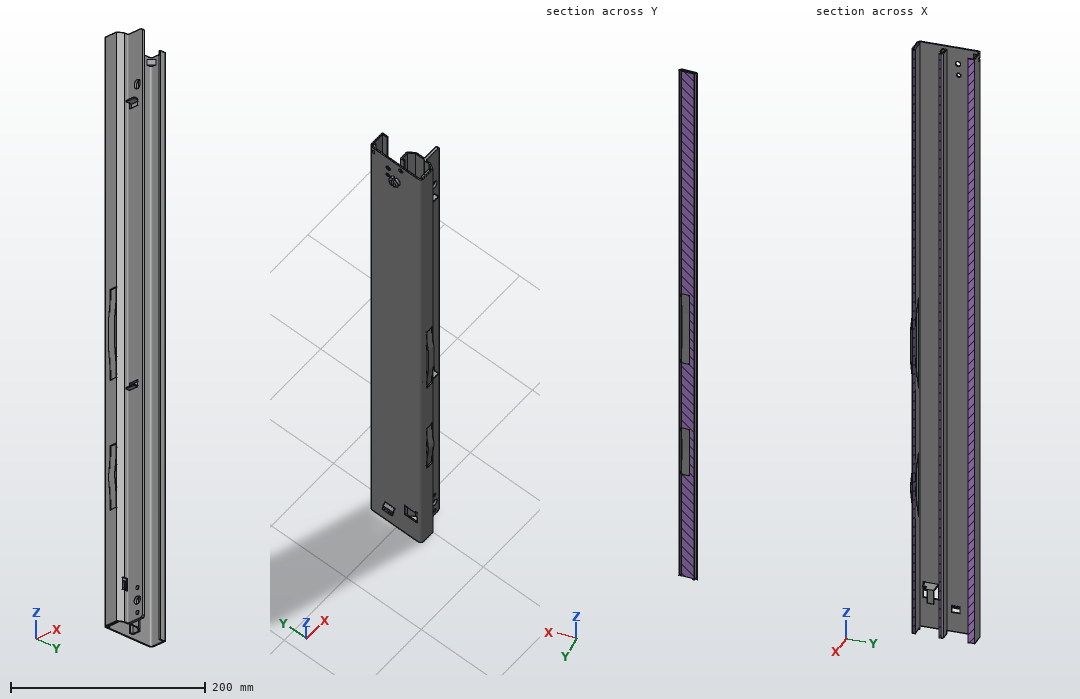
import cadquery as cq
import math

length = 678.5
sheet = 1.5
back_y = 68.8
back_lip_x = 20.5
back_lip_y = 61.5
bend_radius = 3.8
inner_bend_radius = bend_radius - sheet

slope_front_x = 19.2
slope_front_y = 7.0
front_side_x = 23.2
back_side_x = 24.0
curl_slope_y = 26.5
curl_slope_x = 18.5
curl_y = 34.3
curl_lip_x = 7.9
curl_lip_y = 29.3

fin_end_x = 44.43
fin_front_y = 12.5
fin_back_y = fin_front_y + 2 * sheet
fin_corner = 2.0
fin_root_radius = 1.0

fin_hole_x = 36.6
oblong_z = 616.5
oblong_width = 8.0
oblong_height = 10.5
low_hole_z = 22.0
low_hole_diameter = 9.0
pilot_diameter = 4.2
pilot_offset = 14.3

slot_start_x = 25.2
slot_end_x = 37.0
slot_height = 6.6
tab_reach = 5.0
upper_slot_z = 591.8
lower_slot_z = 269.0

strip_thickness = 2.0
strip_start_x = bend_radius
strip_end_x = 18.2
tongue_width = 2.0
tongue_length = 680.0 - length

ramp_start_x = 9.3
ramp_length = 34.5
ramp_projection = 2.0
ramps = [(280.6, 35.5), (131.0, 5.0)]

web_holes = [(27.3, 671.0, 5.5), (44.0, 660.0, 5.5), (44.7, 647.0, 4.5)]
stud_y = 34.2
stud_z = 646.5
stud_diameter = 12.5
stud_height = 5.0
stud_chamfer = 1.8
stud_slot = 2.4

hook_y = 41.5
hook_width = 13.0
hook_top_z = 32.5
hook_thickness = 1.5
hook_arm_x = -3.9
hook_arm_drop = 2.5
hook_leg_z = 26.5
hook_tip_x = -5.0
hook_tip_z = 24.5
hook_opening_width = 9.0
hook_opening_bottom_z = 22.0

gusset_z = 671.5
gusset_height = 6.5
gusset_leg = 6.5
gusset_dent_height = 3.5
gusset_dent_leg = 6.8

window_bottom_z = 34.0
window_top_z = 52.0
window_front_y = 5.5
window_back_y = 22.5
shelf_step_y = 12.5
shelf_front_y = 8.0
shelf_narrow_x = 10.0
shelf_wide_x = 16.0
apron_front_y = 15.5
apron_bottom_z = 36.0
side_window_x = 20.0
side_window_front_y = 5.5
side_window_bottom_z = 37.0
side_window_top_z = 51.0


def block(x0, x1, y0, y1, z0, z1):
    """Box between two opposite corners."""
    return cq.Workplane("XY").box(x1 - x0, y1 - y0, z1 - z0, centered=False).translate((x0, y0, z0))


def prism(points, z0, z1):
    """Plan outline extruded from z0 to z1."""
    return cq.Workplane("XY").workplane(offset=z0).polyline(points).close().extrude(z1 - z0)


def side_prism(points, x0, x1):
    """(Y, Z) outline extruded from x0 to x1."""
    return cq.Workplane("YZ").workplane(offset=x0).polyline(points).close().extrude(x1 - x0)


def fin_hole(z, diameter):
    """Round cutter through the fin."""
    return (cq.Workplane("XZ", origin=(fin_hole_x, fin_back_y, z))
            .circle(diameter / 2).extrude(fin_back_y - fin_front_y))


def offset_left(points, distance):
    """Open line moved to its left, with mitred corners."""
    directions = []
    for (x0, y0), (x1, y1) in zip(points, points[1:]):
        run = math.hypot(x1 - x0, y1 - y0)
        directions.append(((x1 - x0) / run, (y1 - y0) / run))
    moved = []
    for index, (x, y) in enumerate(points):
        ux, uy = directions[max(index - 1, 0)]
        vx, vy = directions[min(index, len(directions) - 1)]
        scale = distance / (1 + ux * vx + uy * vy)
        moved.append((x - (uy + vy) * scale, y + (ux + vx) * scale))
    return moved


def folded_sheet(outer_skin):
    """Sheet with its outer skin on the given plan line and its thickness to the left of it."""
    inner_skin = offset_left(outer_skin, sheet)
    return prism(outer_skin + inner_skin[::-1], 0, length)


def round_bend(body, x, y, radius):
    """Fillet the vertical edge nearest to a plan point."""
    edge = body.edges("|Z").edges(cq.selectors.NearestToPointSelector((x, y, length / 2)))
    return edge.fillet(radius)


def rolled_section():
    """Channel and curl joined into one sheet along the flattened fin."""
    channel_half = folded_sheet([
        (back_lip_x, back_lip_y), (back_lip_x, back_y), (0, back_y), (0, 0),
        (slope_front_x, 0), (front_side_x, slope_front_y), (front_side_x, fin_front_y),
        (fin_end_x, fin_front_y)])
    curl_half = folded_sheet([
        (fin_end_x, fin_back_y), (back_side_x, fin_back_y), (back_side_x, curl_slope_y),
        (curl_slope_x, curl_y), (curl_lip_x, curl_y), (curl_lip_x, curl_lip_y)])
    body = channel_half.union(curl_half).clean()
    for outer_y, inner_y in [(0, sheet), (back_y, back_y - sheet)]:
        body = round_bend(body, 0, outer_y, bend_radius)
        body = round_bend(body, sheet, inner_y, inner_bend_radius)
    for root_x, root_y in [(front_side_x, fin_front_y), (back_side_x, fin_back_y)]:
        body = round_bend(body, root_x, root_y, fin_root_radius)
    return body.edges(">X and |Y").chamfer(fin_corner)


def cut_fin_holes(body):
    body = body.cut(fin_hole(low_hole_z, low_hole_diameter))
    for side in (-1, 1):
        body = body.cut(fin_hole(low_hole_z + side * pilot_offset, pilot_diameter))
    oblong = (cq.Workplane("XZ", origin=(fin_hole_x, fin_back_y, oblong_z))
              .slot2D(oblong_height, oblong_width, 90).extrude(fin_back_y - fin_front_y))
    return body.cut(oblong)


def add_slot_with_tab(body, slot_z, tab_z):
    """Slot through the fin, with a forward tab whose lower face is at tab_z."""
    slot = block(slot_start_x, slot_end_x, fin_front_y, fin_back_y, slot_z, slot_z + slot_height)
    tab = block(slot_start_x, slot_end_x, fin_front_y - tab_reach, fin_back_y, tab_z, tab_z + sheet)
    return body.cut(slot).union(tab)


def cut_ramp_slots(body):
    for bottom_z, crest in ramps:
        top_z = bottom_z + crest + 2 * ramp_length
        body = body.cut(block(ramp_start_x, strip_end_x, 0, sheet, bottom_z, top_z))
    return body


def cut_web_holes(body):
    for y, z, diameter in web_holes:
        hole = cq.Workplane("YZ", origin=(0, y, z)).circle(diameter / 2).extrude(sheet)
        body = body.cut(hole)
    return body


def slotted_stud():
    """Chamfered round stud on the web, split by an upright slot."""
    stud = (cq.Workplane("YZ", origin=(0, stud_y, stud_z)).circle(stud_diameter / 2)
            .extrude(-stud_height).faces("<X").chamfer(stud_chamfer))
    slot = block(-stud_height, 0, stud_y - stud_slot / 2, stud_y + stud_slot / 2,
                 stud_z - stud_diameter / 2, stud_z + stud_diameter / 2)
    return stud.cut(slot)


def add_hook(body):
    """Hanging hook pressed out of the web above its opening."""
    opening = block(0, sheet, hook_y - hook_opening_width / 2, hook_y + hook_opening_width / 2,
                    hook_opening_bottom_z, hook_top_z - hook_arm_drop)
    arm_z = hook_top_z - hook_arm_drop
    inner_x = hook_arm_x + hook_thickness
    outline = [(0, hook_top_z), (hook_arm_x, arm_z), (hook_arm_x, hook_leg_z), (hook_tip_x, hook_tip_z),
               (hook_tip_x + hook_thickness, hook_tip_z), (inner_x, hook_leg_z),
               (inner_x, arm_z - hook_thickness / 2), (0, hook_top_z - hook_thickness)]
    hook = (cq.Workplane("XZ", origin=(0, hook_y + hook_width / 2, 0))
            .polyline(outline).close().extrude(hook_width))
    return body.cut(opening).union(hook)


def add_gusset(body):
    """Stiffening dent pressed into the bend between web and back flange."""
    inner_y = back_y - sheet
    rib = prism([(sheet / 2, inner_y + sheet / 2), (sheet / 2, inner_y - gusset_leg),
                 (sheet, inner_y - gusset_leg), (sheet + gusset_leg, inner_y),
                 (sheet + gusset_leg, inner_y + sheet / 2)],
                gusset_z - gusset_height / 2, gusset_z + gusset_height / 2)
    rib = rib.edges("|Z and <X and >Y").chamfer(sheet)
    dent = prism([(0, back_y), (0, back_y - gusset_dent_leg), (gusset_dent_leg, back_y)],
                 gusset_z - gusset_dent_height / 2, gusset_z + gusset_dent_height / 2)
    return body.union(rib).cut(dent)


def add_window(body):
    """Web window with the stepped shelf and apron bent inward from it, and an opening in the side wall."""
    window = block(0, sheet, window_front_y, window_back_y, window_bottom_z, window_top_z)
    shelf = prism([(0, window_back_y), (shelf_wide_x, window_back_y), (shelf_wide_x, shelf_step_y),
                   (shelf_narrow_x, shelf_step_y), (shelf_narrow_x, shelf_front_y), (0, shelf_front_y)],
                  window_top_z - sheet, window_top_z)
    apron = block(shelf_wide_x - sheet, shelf_wide_x, apron_front_y, window_back_y,
                  apron_bottom_z, window_top_z)
    side_window = block(side_window_x, front_side_x, side_window_front_y, fin_front_y - fin_root_radius,
                        side_window_bottom_z, side_window_top_z)
    return body.cut(window).cut(side_window).union(shelf).union(apron)


def build_upright():
    """Complete upright."""
    body = rolled_section()
    body = cut_fin_holes(body)
    body = add_slot_with_tab(body, upper_slot_z, upper_slot_z + slot_height)
    body = add_slot_with_tab(body, lower_slot_z, lower_slot_z - sheet)
    body = cut_ramp_slots(body)
    body = cut_web_holes(body)
    body = add_gusset(body)
    body = add_hook(body)
    body = add_window(body)
    return body.union(slotted_stud())


def build_latch_strip():
    """Flat strip behind the front face, with ramps standing out through the slots."""
    front_y = sheet
    rear_y = front_y + strip_thickness
    strip = block(strip_start_x, strip_end_x, front_y, rear_y, 0, length)
    tongue = block(strip_start_x, strip_start_x + tongue_width, front_y, rear_y, -tongue_length, 0)
    strip = strip.union(tongue)
    for bottom_z, crest in ramps:
        crest_start_z = bottom_z + ramp_length
        crest_end_z = crest_start_z + crest
        top_z = crest_end_z + ramp_length
        front_line = [(front_y, bottom_z), (-ramp_projection, crest_start_z),
                      (-ramp_projection, crest_end_z), (front_y, top_z)]
        rear_line = [(y + strip_thickness, z) for y, z in front_line]
        gap = block(ramp_start_x, strip_end_x, front_y, rear_y, bottom_z, top_z)
        ramp = side_prism(front_line + rear_line[::-1], ramp_start_x, strip_end_x)
        strip = strip.cut(gap).union(ramp)
    return strip


upright = build_upright()
latch_strip = build_latch_strip()
result = cq.Compound.makeCompound([upright.solids().val(), latch_strip.solids().val()])